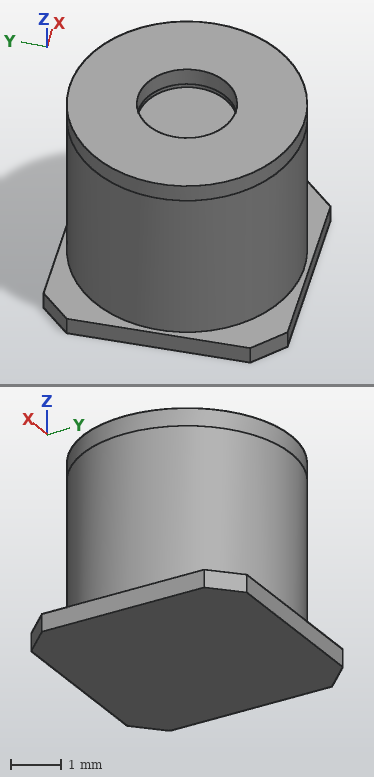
import cadquery as cq

BASE_SIZE = 5.0
BASE_HEIGHT = 0.4
CORNER_CHAMFER = 0.62

TOTAL_HEIGHT = 4.4
BODY_DIAMETER = 4.8

COVER_HEIGHT = 0.4
HOLE_DIAMETER = 2.0
RECESS_DEPTH = 0.09

COVER_BOTTOM = TOTAL_HEIGHT - COVER_HEIGHT


def make_housing():
    """Square plate with cut corners, carrying a cylinder with a shallow round recess."""
    base = (
        cq.Workplane("XY")
        .rect(BASE_SIZE, BASE_SIZE)
        .extrude(BASE_HEIGHT)
        .edges("|Z")
        .chamfer(CORNER_CHAMFER)
    )
    cylinder = (
        cq.Workplane("XY")
        .workplane(offset=BASE_HEIGHT)
        .circle(BODY_DIAMETER / 2)
        .extrude(COVER_BOTTOM - BASE_HEIGHT)
    )
    recess = (
        cq.Workplane("XY")
        .workplane(offset=COVER_BOTTOM - RECESS_DEPTH)
        .circle(HOLE_DIAMETER / 2)
        .extrude(RECESS_DEPTH)
    )
    return base.union(cylinder).cut(recess)


def make_cover():
    """Flat ring with a central opening, flush with the housing's side."""
    return (
        cq.Workplane("XY")
        .workplane(offset=COVER_BOTTOM)
        .circle(BODY_DIAMETER / 2)
        .circle(HOLE_DIAMETER / 2)
        .extrude(COVER_HEIGHT)
    )


housing = make_housing()
cover = make_cover()

result = cq.Compound.makeCompound([housing.val(), cover.val()])